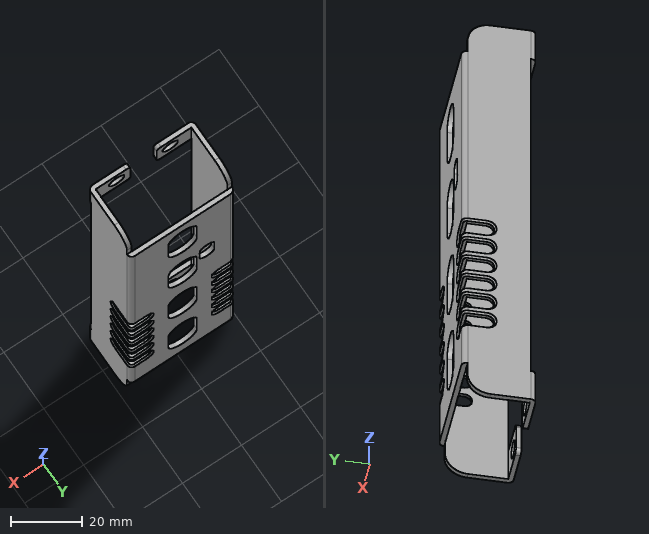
import cadquery as cq
import math


height = 139.7
width = 35.6
depth = 21.2
inner_width = 32.4
sheet = (width - inner_width) / 2

tab_height = 10.8
tab_width = 13.4
tab_corner = 1.5
tab_hole_diameter = 5.2
tab_hole_x = 9.1
tab_hole_from_end = 4.9
web_height = height - 2 * tab_height
wall_corner = 6.4

slot_width = 9.6
slot_length = 19.1
slot_count = 4
slot_pitch = 28.6
slot_row_z = 0.4

small_slot_width = 5.0
small_slot_length = 10.0
small_slot_x = -8.2
small_slot_z = 20.5

vent_height = 4.5
vent_count = 6
vent_pitch = 7.0
vent_top_z = -7.1
vent_web_reach = 5.9
vent_wall_reach = 7.7
vent_chamfer = 0.5

inner_x = inner_width / 2
rear_y = depth / 2 - sheet
front_y = sheet - depth / 2


def side_wall(side):
    """Flat wall between the front and rear bends, rounded at its rear corners."""
    return (
        cq.Workplane("YZ")
        .rect(rear_y - front_y, height)
        .extrude(sheet)
        .edges("|X and >Y")
        .fillet(wall_corner)
        .translate((inner_x if side > 0 else -inner_x - sheet, 0, 0))
    )


def quarter_bend(side, end, length, z):
    """Quarter-round bend joining a wall to the web (end = 1) or to a tab (end = -1)."""
    corner_y = rear_y if end > 0 else front_y
    diagonal = sheet * math.sqrt(0.5)
    return (
        cq.Workplane("XY", origin=(side * inner_x, corner_y, z - length / 2))
        .lineTo(side * sheet, 0)
        .threePointArc((side * diagonal, end * diagonal), (0, end * sheet))
        .close()
        .extrude(length)
    )


def tab(side, end):
    """Mounting tab with rounded free corners and a screw hole, plus its bend."""
    z = end * (height - tab_height) / 2
    flat_width = tab_width - sheet
    free_edge = "<X" if side > 0 else ">X"
    flat = (
        cq.Workplane("XY")
        .box(flat_width, sheet, tab_height)
        .edges("|Y and " + free_edge)
        .fillet(tab_corner)
        .translate((side * (inner_x - flat_width / 2), front_y - sheet / 2, z))
    )
    hole = (
        cq.Workplane("XZ", origin=(side * tab_hole_x, front_y, end * (height / 2 - tab_hole_from_end)))
        .circle(tab_hole_diameter / 2)
        .extrude(sheet)
    )
    return flat.cut(hole).union(quarter_bend(side, -1, tab_height, z))


def web_slot(x, z, slot_w, slot_l):
    """Upright round-ended cutter through the web."""
    return (
        cq.Workplane("XZ", origin=(x, rear_y, z))
        .slot2D(slot_l, slot_w, 90)
        .extrude(-sheet)
    )


def vent_leg(reach):
    """Flat leg of a vent along +X from the inner corner, with its chamfer at the outer face Z = sheet."""
    radius = vent_height / 2
    center_x = (reach - radius) / 2
    length = reach + radius
    straight = cq.Workplane("XY").center(center_x, 0).slot2D(length, vent_height).extrude(sheet)
    rim = (
        cq.Workplane("XY", origin=(0, 0, sheet - vent_chamfer))
        .center(center_x, 0)
        .slot2D(length, vent_height)
        .extrude(vent_chamfer, taper=-45)
    )
    beyond_corner = cq.Workplane("XY").box(2 * reach, 2 * reach, sheet, centered=(False, True, False))
    return straight.union(rim).intersect(beyond_corner)


def vent(z):
    """Cutter wrapping the +X rear bend: one leg in the web, one in the wall, revolved between."""
    half = vent_height / 2
    outward_y = ((0, 0, 0), (1, 0, 0), -90)
    rearward_to_x = ((0, 0, 0), (0, 0, 1), -90)
    web_leg = vent_leg(vent_web_reach).rotate(*outward_y).mirror("YZ")
    wall_leg = vent_leg(vent_wall_reach).rotate(*outward_y).rotate(*rearward_to_x)
    corner = (
        cq.Workplane("XZ")
        .moveTo(0, -half)
        .lineTo(sheet - vent_chamfer, -half)
        .lineTo(sheet, -half - vent_chamfer)
        .lineTo(sheet, half + vent_chamfer)
        .lineTo(sheet - vent_chamfer, half)
        .lineTo(0, half)
        .close()
        .revolve(90, (0, 0), (0, 1))
    )
    return web_leg.union(wall_leg).union(corner).translate((inner_x, rear_y, z))


result = cq.Workplane("XY").box(inner_width, sheet, web_height).translate((0, rear_y + sheet / 2, 0))
for side in (-1, 1):
    result = result.union(side_wall(side)).union(quarter_bend(side, 1, web_height, 0))
    for end in (-1, 1):
        result = result.union(tab(side, end))

for i in range(slot_count):
    slot_z = slot_row_z + (i - (slot_count - 1) / 2) * slot_pitch
    result = result.cut(web_slot(0, slot_z, slot_width, slot_length))
result = result.cut(web_slot(small_slot_x, small_slot_z, small_slot_width, small_slot_length))

for i in range(vent_count):
    cutter = vent(vent_top_z - i * vent_pitch)
    result = result.cut(cutter).cut(cutter.mirror("YZ"))